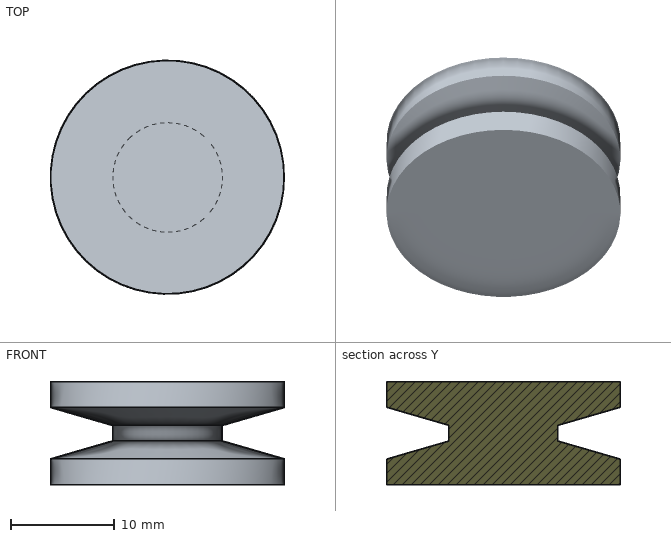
import cadquery as cq

rim_diameter = 22.6
neck_diameter = 10.6
total_height = 10.0
rim_height = 2.5
neck_height = 1.5

rim_radius = rim_diameter / 2
neck_radius = neck_diameter / 2
half_height = total_height / 2
half_neck = neck_height / 2
groove_half_width = half_height - rim_height

half_section = (
    cq.Workplane("XZ")
    .moveTo(0, -half_height)
    .lineTo(rim_radius, -half_height)
    .lineTo(rim_radius, -groove_half_width)
    .lineTo(neck_radius, -half_neck)
    .lineTo(neck_radius, half_neck)
    .lineTo(rim_radius, groove_half_width)
    .lineTo(rim_radius, half_height)
    .lineTo(0, half_height)
    .close()
)

result = half_section.revolve(360, (0, 0), (0, 1))